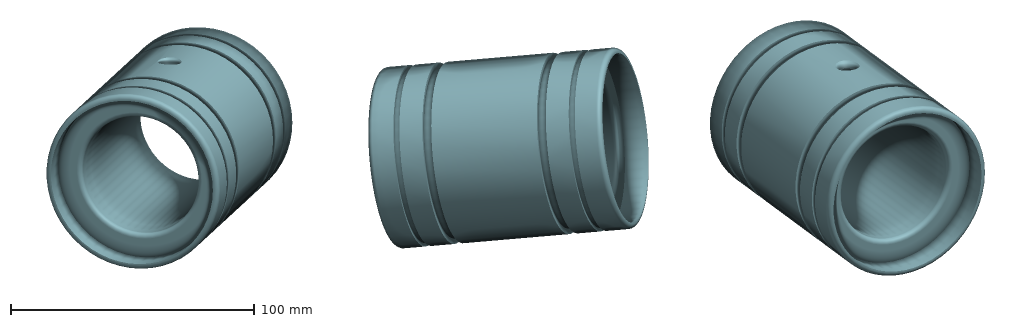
import cadquery as cq

length = 99.7
outer_diameter = 74.9
outer_radius = outer_diameter / 2
bore_radius = 25.0
edge_fillet = 2.0

recess_radius = 35.0
recess_depth = 10.0

outer_groove = (11.2, 2.6, 1.4)
inner_groove = (23.5, 3.8, 2.3)

hole_diameter = 5.0
hole_chamfer = 2.5

clearance = 1.0


def cylinder(radius, start, height):
    """Solid cylinder along Y, starting at the given Y."""
    return cq.Workplane("XZ", origin=(0, start, 0)).circle(radius).extrude(-height)


def ring_groove(start, width, depth):
    """Ring of material to remove from the outside of the sleeve."""
    ring = cylinder(outer_radius + clearance, start, width)
    return ring.cut(cylinder(outer_radius - depth, start, width))


body = cylinder(outer_radius, -length / 2, length).faces("<Y or >Y").edges().fillet(edge_fillet)

body = body.cut(cylinder(recess_radius, -length / 2, recess_depth))
body = body.cut(cylinder(recess_radius, length / 2 - recess_depth, recess_depth))

body = body.cut(cylinder(bore_radius, -length / 2, length))
bore_mouths = cq.selectors.BoxSelector(
    (-bore_radius - clearance, -length / 2, -bore_radius - clearance),
    (bore_radius + clearance, length / 2, bore_radius + clearance),
    boundingbox=True,
)
body = body.edges("%CIRCLE").edges(bore_mouths).fillet(edge_fillet)

for distance, width, depth in (outer_groove, inner_groove):
    body = body.cut(ring_groove(-length / 2 + distance, width, depth))
    body = body.cut(ring_groove(length / 2 - distance - width, width, depth))

body = body.cut(cq.Workplane("XY").circle(hole_diameter / 2).extrude(outer_radius))
hole_mouth = cq.selectors.BoxSelector(
    (-hole_diameter, -hole_diameter, recess_radius),
    (hole_diameter, hole_diameter, outer_radius + clearance),
    boundingbox=True,
)
result = body.edges(hole_mouth).chamfer(hole_chamfer)